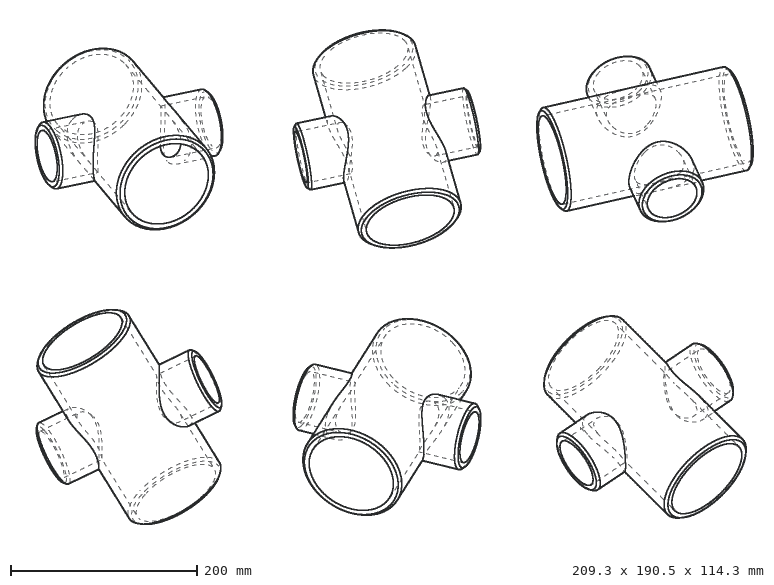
import cadquery as cq

run_length = 209.3
run_diameter = 114.3
run_bore = 97.3

branch_span = 190.5
branch_diameter = 73.3
branch_bore = 56.0

end_chamfer = 3.0


def bar(plane, length, diameter):
    """Solid round bar centred on the origin, along the normal of the plane."""
    return cq.Workplane(plane).circle(diameter / 2).extrude(length / 2, both=True)


def chamfered_bar(plane, length, diameter, end_faces):
    """Round bar with its outer end edges chamfered."""
    return bar(plane, length, diameter).faces(end_faces).chamfer(end_chamfer)


run = chamfered_bar("YZ", run_length, run_diameter, "|X")
branches = chamfered_bar("XZ", branch_span, branch_diameter, "|Y")
body = run.union(branches)

run_hole = bar("YZ", run_length, run_bore)
branch_hole = bar("XZ", branch_span, branch_bore)

result = body.cut(run_hole).cut(branch_hole)